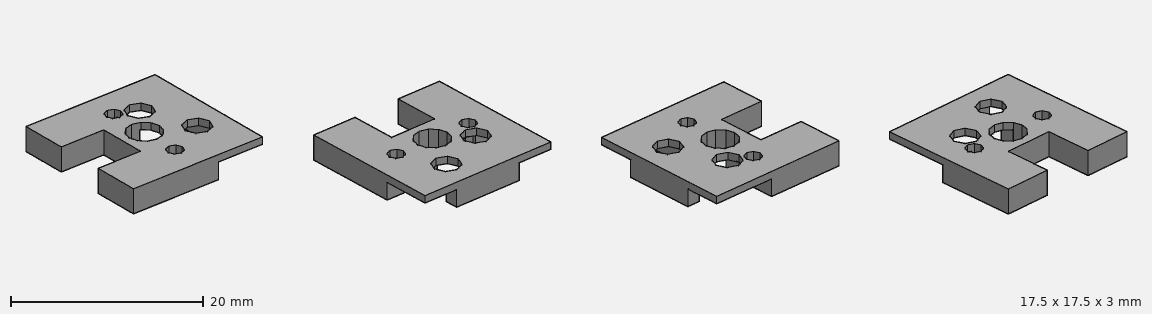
import cadquery as cq

side = 17.5
height = 3.0
plate_thickness = 0.9
half = side / 2
recess_height = height - plate_thickness

notch_half_width = 3.0

recess_front_left = 0.91
recess_front_right = 2.8
recess_step_x = 1.77
recess_back = 7.1

rib_half_length = 4.35

center_diameter = 4.1
center_sides = 12
pin_diameter = 3.27
post_diameter = 1.96
outer_sides = 8
pin_left_x = -3.8
pin_left_y = 2.54
pin_right_x = 2.54
pin_right_y = 2 * pin_left_y
pin_positions = [(pin_left_x, pin_left_y), (pin_right_x, pin_right_y)]
post_offset = 5.0
post_positions = [(-post_offset, 0), (post_offset, 0)]


def box(x_min, x_max, y_min, y_max, z_height):
    """Box standing on Z = 0 between the given X and Y limits."""
    size_x = x_max - x_min
    size_y = y_max - y_min
    corner_box = cq.Workplane("XY").box(size_x, size_y, z_height, centered=False)
    return corner_box.translate((x_min, y_min, 0))


def polygon_holes(positions, sides, diameter):
    """Full-height polygonal cutters, each with a corner pointing along +X."""
    return cq.Workplane("XY").pushPoints(positions).polygon(sides, diameter).extrude(height)


def recess():
    """Recess open at the left, right and back, less the back rib."""
    left = box(-half, recess_step_x, recess_front_left, half, recess_height)
    right = box(recess_step_x, half, recess_front_right, half, recess_height)
    rib = box(-rib_half_length, rib_half_length, recess_back, half, recess_height)
    return left.union(right).cut(rib)


body = box(-half, half, -half, half, height)
notch = box(-notch_half_width, notch_half_width, -half, -notch_half_width, height)

result = (
    body.cut(notch)
    .cut(recess())
    .cut(polygon_holes([(0, 0)], center_sides, center_diameter))
    .cut(polygon_holes(pin_positions, outer_sides, pin_diameter))
    .cut(polygon_holes(post_positions, outer_sides, post_diameter))
)